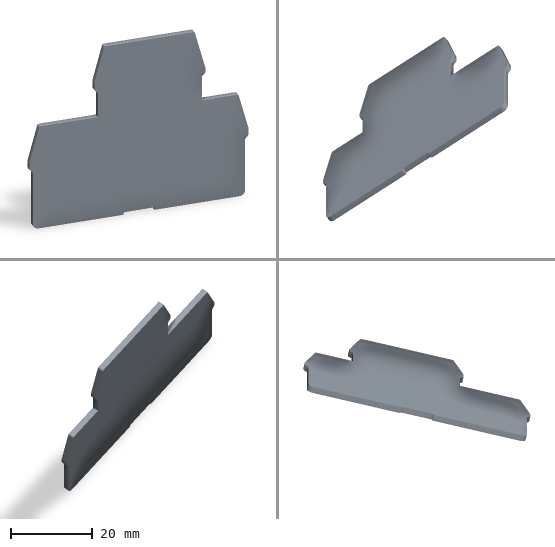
import math

import cadquery as cq

thickness = 1.5
overall_width = 56.9
overall_height = 47.5

flank_angle = math.radians(15)
shoulder_radius = 0.5
lip_radius = 0.5

head_half_width = overall_width / 2
head_overhang = 0.9
lower_top = 28.2
lower_flank_base = 18.3
lower_lip_bottom = 16.65
lower_neck_top = 15.6
foot_radius = 1.5

upper_left = 17.25
upper_right = -11.6
upper_overhang = 0.95
upper_left_flank_base = 37.0
upper_right_flank_base = 37.75
upper_left_lip_bottom = 35.8
upper_right_lip_bottom = 35.85
upper_neck_top = 34.8
upper_left_lip_radius = 0.8

foot = 0
lip = 2
shoulder = 4

notch_width = 8.0
notch_depth = 0.7
notch_radius = 0.4


def flank_inset(rise):
    """Horizontal distance a sloped flank moves inwards over a vertical rise."""
    return rise * math.tan(flank_angle)


def tier_side(edge, inward, overhang, bottom, neck_top, lip_bottom, flank_base, top):
    """Points up one side of a tier: neck, lip and sloped flank; inward is the Y sign."""
    neck_y = edge + inward * overhang
    shoulder_y = edge + inward * flank_inset(top - flank_base)
    return [(neck_y, bottom), (neck_y, neck_top), (edge, lip_bottom), (edge, flank_base), (shoulder_y, top)]


def make_tier(left_side, right_side):
    """Plate bounded by the two sides, given as (Y, Z) points from bottom to top."""
    outline = right_side + left_side[::-1]
    return cq.Workplane("YZ").polyline(outline).close().extrude(thickness / 2, both=True)


def round_corners(body, points, radius):
    """Fillet the edges along X that pass through the given (Y, Z) points."""
    for y, z in points:
        body = body.edges(cq.selectors.NearestToPointSelector((0, y, z))).fillet(radius)
    return body


def make_lower_tier():
    sizes = (head_overhang, 0, lower_neck_top, lower_lip_bottom, lower_flank_base, lower_top)
    left = tier_side(head_half_width, -1, *sizes)
    right = tier_side(-head_half_width, 1, *sizes)
    tier = make_tier(left, right)
    tier = round_corners(tier, [left[foot], right[foot]], foot_radius)
    tier = round_corners(tier, [left[lip], right[lip]], lip_radius)
    return round_corners(tier, [left[shoulder], right[shoulder]], shoulder_radius)


def make_upper_tier():
    left = tier_side(
        upper_left, -1, upper_overhang, lower_top,
        upper_neck_top, upper_left_lip_bottom, upper_left_flank_base, overall_height,
    )
    right = tier_side(
        upper_right, 1, upper_overhang, lower_top,
        upper_neck_top, upper_right_lip_bottom, upper_right_flank_base, overall_height,
    )
    tier = make_tier(left, right)
    tier = round_corners(tier, [left[lip]], upper_left_lip_radius)
    tier = round_corners(tier, [right[lip]], lip_radius)
    return round_corners(tier, [left[shoulder], right[shoulder]], shoulder_radius)


def make_notch():
    notch = cq.Workplane("XY").box(thickness, notch_width, notch_depth, centered=(True, True, False))
    return notch.edges("|X and >Z").fillet(notch_radius)


result = make_lower_tier().union(make_upper_tier()).cut(make_notch())